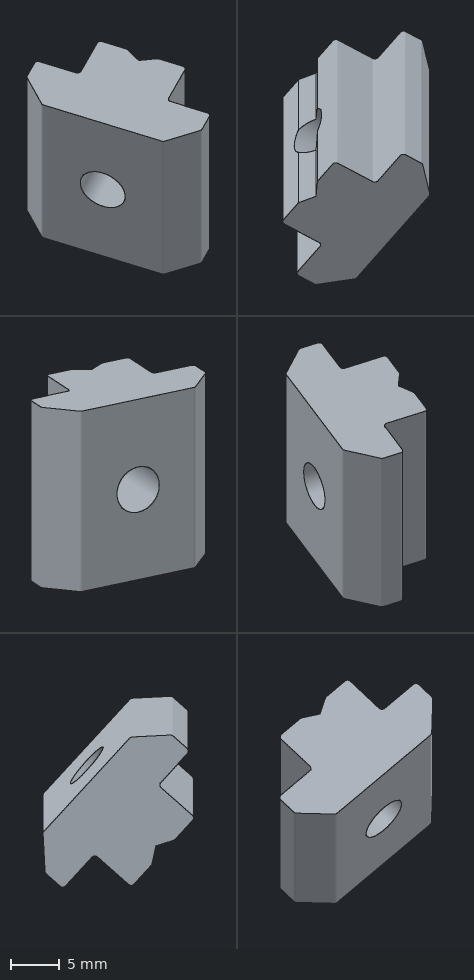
import cadquery as cq
import math

width = 19.5
depth = 10.6
length = 20.0

flange_depth = 5.5
neck_width = 9.8
chamfer = 3.0
edge_radius = 0.4
groove_depth = 1.0
groove_angle = 120.0
groove_half_width = groove_depth * math.tan(math.radians(groove_angle / 2))

hole_diameter = 5.0


def make_section_half():
    """Corners of the +X half of the T section, from the front face to the groove."""
    half_width = width / 2
    half_neck = neck_width / 2
    return [
        (half_width - chamfer, 0),
        (half_width, chamfer),
        (half_width, flange_depth),
        (half_neck, flange_depth),
        (half_neck, depth),
        (groove_half_width, depth),
    ]


def make_body():
    """Extrude the T section along Z and round its edges, leaving the groove sharp."""
    right = make_section_half()
    left = [(-x, y) for x, y in reversed(right)]
    groove_bottom = (0, depth - groove_depth)
    section = cq.Workplane("XY").polyline(right + [groove_bottom] + left).close()
    body = section.extrude(length)
    margin = 0.2
    sharp_zone = cq.selectors.BoxSelector(
        (-groove_half_width - margin, depth - groove_depth - margin, 0),
        (groove_half_width + margin, depth + margin, length),
    )
    along_length = cq.selectors.ParallelDirSelector(cq.Vector(0, 0, 1))
    rounded_edges = cq.selectors.SubtractSelector(along_length, sharp_zone)
    return body.edges(rounded_edges).fillet(edge_radius)


def make_hole():
    """Through hole along Y at the middle of the front face."""
    return (
        cq.Workplane("XZ")
        .center(0, length / 2)
        .circle(hole_diameter / 2)
        .extrude(-depth)
    )


result = make_body().cut(make_hole())